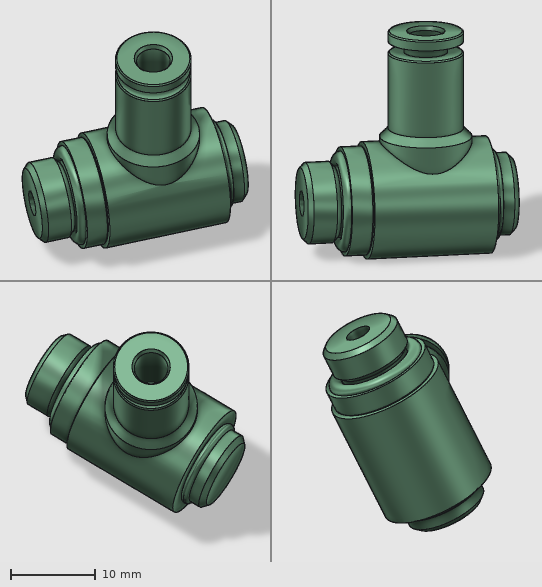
import cadquery as cq

height = 27.5
body_diameter = 14.0
body_back = 7.5
body_front = 7.42
stem_top = height - body_diameter / 2

back_end = 10.5
back_diameter = 9.85
back_chamfer = 0.65
back_ring_diameter = 10.9
back_ring_section = 1.0

front_end = 15.0
shoulder_diameter = 13.0
shoulder_chamfer = 0.16
shoulder_end = 10.06
spigot_diameter = 9.74
spigot_start = 10.95
spigot_chamfer = 0.6
front_ring_end = 10.9
front_ring_diameter = 12.05
front_ring_section = 1.75

collar_diameter = 11.0
collar_chamfer_top = 8.58
stem_diameter = 9.0
stem_shoulder = 17.93
neck_diameter = 5.2
flange_bottom = 19.25
edge_chamfer = 0.16

bore_diameter = 3.0
hose_diameter = 4.0
hose_depth = 10.0
lead_in_diameter = 4.55
lead_in_depth = 0.5


def disc_along_y(diameter, y_start, y_end):
    """Cylinder centred on the body axis between two Y positions."""
    return cq.Workplane("XZ", origin=(0, y_end, 0)).circle(diameter / 2).extrude(y_end - y_start)


def disc_along_z(diameter, z_start, z_end):
    """Cylinder centred on the stem axis between two Z positions."""
    return cq.Workplane("XY", origin=(0, 0, z_start)).circle(diameter / 2).extrude(z_end - z_start)


def seal_ring(outer_diameter, section, y_centre):
    """O-ring around the body axis."""
    section_radius = section / 2
    return cq.Workplane(
        cq.Solid.makeTorus(
            outer_diameter / 2 - section_radius,
            section_radius,
            cq.Vector(0, y_centre, 0),
            cq.Vector(0, 1, 0),
        )
    )


def make_body():
    body = disc_along_y(body_diameter, -body_front, body_back)
    plug = disc_along_y(back_diameter, 0, back_end).faces(">Y").chamfer(back_chamfer)
    back_ring = seal_ring(back_ring_diameter, back_ring_section, body_back + back_ring_section / 2)
    shoulder = disc_along_y(shoulder_diameter, -shoulder_end, -body_front)
    shoulder = shoulder.faces(">Y").chamfer(shoulder_chamfer)
    spigot = disc_along_y(spigot_diameter, -front_end, -spigot_start)
    spigot = spigot.faces("<Y or >Y").chamfer(spigot_chamfer)
    core = disc_along_y(spigot_diameter - 2 * spigot_chamfer, -front_end, 0)
    front_ring = seal_ring(front_ring_diameter, front_ring_section, front_ring_section / 2 - front_ring_end)
    for piece in (plug, back_ring, shoulder, spigot, core, front_ring):
        body = body.union(piece)
    return body


def make_stem():
    collar_chamfer = (collar_diameter - stem_diameter) / 2
    collar = disc_along_z(collar_diameter, 0, collar_chamfer_top).faces(">Z").chamfer(collar_chamfer)
    sleeve = disc_along_z(stem_diameter, 0, stem_shoulder).faces(">Z").chamfer(edge_chamfer)
    neck = disc_along_z(neck_diameter, 0, stem_top)
    flange = disc_along_z(stem_diameter, flange_bottom, stem_top).faces(">Z").chamfer(edge_chamfer)
    return collar.union(sleeve).union(neck).union(flange)


def make_passage():
    """Elbow from the spigot to the stem, rounded by a ball at the corner and widened for the hose."""
    elbow = disc_along_y(bore_diameter, -front_end, 0)
    elbow = elbow.union(disc_along_z(bore_diameter, 0, stem_top))
    elbow = elbow.union(cq.Workplane("XY").sphere(bore_diameter / 2))
    socket = disc_along_z(hose_diameter, stem_top - hose_depth, stem_top)
    lead_in = cq.Workplane(
        cq.Solid.makeCone(
            hose_diameter / 2,
            lead_in_diameter / 2,
            lead_in_depth,
            cq.Vector(0, 0, stem_top - lead_in_depth),
        )
    )
    return elbow.union(socket).union(lead_in)


result = make_body().union(make_stem()).cut(make_passage())